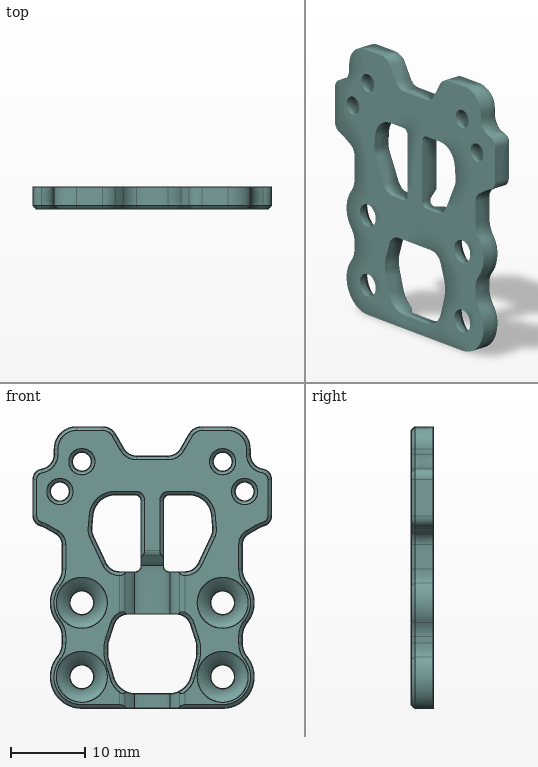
import cadquery as cq
import math

height = 38.03
width = 32.2
half_width = width / 2
thickness = 3.0
edge_chamfer = 0.5

boss_x = 9.5
boss_radius = 4.25
boss_spacing = 10.0
lower_boss_z = boss_radius
upper_boss_z = lower_boss_z + boss_spacing
screw_hole_diameter = 3.2
countersink_diameter = 6.9
countersink_angle = 90.0
waist_x = 12.17
waist_blend_radius = 3.0

ear_corner_radius = 1.4
ear_lower_corner_z = 26.0
ear_shoulder_radius = 4.0
ear_shoulder_start_slope = 30.0
ear_shoulder_end_slope = 17.0
armpit_radius = 1.67
ear_upper_blend_radius = 2.0
ear_upper_blend_z = 34.3
lobe_x = 13.25
lobe_outer_radius = 3.0
lobe_inner_corner_x = 5.55
lobe_slope_angle = 60.0
notch_z = 34.07
notch_radius = 2.0

small_hole_diameter = 2.55
lobe_hole = (9.5, 33.3)
ear_hole = (12.47, 29.3)

bar_half_width = 1.52
upper_window = [
    (bar_half_width, 18.45, 0.75),
    (5.7, 18.45, 2.0),
    (8.2, 23.8, 2.0),
    (7.75, 28.83, 3.0),
    (bar_half_width, 28.83, 0.75),
]

lower_window_half = [
    (0, 1.98, 0),
    (4.55, 1.98, 3.0),
    (6.0, 7.0, 3.0),
    (6.0, 8.75, 3.0),
    (4.7, 12.75, 2.0),
    (0, 12.75, 0),
]

recess_depth = 1.6
recess_half_width = 2.4
recess_floor_top = 19.32
recess_wall_angle = 45.0
recess_rim_radius = 1.0


def towards(start, end, distance):
    """Point at a distance from start in the direction of end."""
    span = math.dist(start, end)
    return tuple(s + (e - s) * distance / span for s, e in zip(start, end))


def arc_middle(center, start, end):
    """Middle point of the shorter arc from start to end."""
    chord_middle = towards(start, end, math.dist(start, end) / 2)
    return towards(center, chord_middle, math.dist(center, start))


def add_arc(sketch, center, start, end):
    return sketch.threePointArc(arc_middle(center, start, end), end)


def below(center, distance, slope):
    """Point below center, square to a line that rises to the right at slope degrees."""
    angle = math.radians(slope)
    return (center[0] + distance * math.sin(angle), center[1] - distance * math.cos(angle))


def rounded_polygon(corners):
    """Closed outline through (x, z, radius) corners; a zero radius stays sharp."""
    path = None
    for i, (x, z, radius) in enumerate(corners):
        corner = (x, z)
        before = corners[i - 1][:2]
        after = corners[(i + 1) % len(corners)][:2]
        heading_in = math.atan2(z - before[1], x - before[0])
        heading_out = math.atan2(after[1] - z, after[0] - x)
        half_turn = abs(math.remainder(heading_out - heading_in, math.tau)) / 2
        tangent_length = radius * math.tan(half_turn)
        start = towards(corner, before, tangent_length)
        end = towards(corner, after, tangent_length)
        path = path.lineTo(*start) if path else cq.Workplane("XZ").moveTo(*start)
        if radius:
            bisector_point = towards(start, end, math.dist(start, end) / 2)
            center = towards(corner, bisector_point, radius / math.cos(half_turn))
            path = add_arc(path, center, start, end)
    return path.close()


def extrude_back(sketch):
    return sketch.extrude(-thickness)


def with_mirror(half):
    return half.union(half.mirror("YZ"))


def trace_bosses(path):
    """Bottom edge and both bosses, ending on the waist line above the upper boss."""
    lower_boss = (boss_x, lower_boss_z)
    upper_boss = (boss_x, upper_boss_z)
    lower_boss_start = (boss_x, 0)
    lower_boss_side = (boss_x + boss_radius, lower_boss_z)

    blend_x = waist_x + waist_blend_radius
    blend_rise = math.sqrt((boss_radius + waist_blend_radius) ** 2 - (blend_x - boss_x) ** 2)
    lower_blend = (blend_x, lower_boss_z + blend_rise)
    middle_blend = (blend_x, upper_boss_z - blend_rise)
    upper_blend = (blend_x, upper_boss_z + blend_rise)
    lower_boss_end = towards(lower_boss, lower_blend, boss_radius)
    upper_boss_start = towards(upper_boss, middle_blend, boss_radius)
    upper_boss_end = towards(upper_boss, upper_blend, boss_radius)
    waist_start = (waist_x, lower_blend[1])
    waist_end = (waist_x, middle_blend[1])
    upper_blend_end = (waist_x, upper_blend[1])

    path = path.lineTo(*lower_boss_start)
    path = add_arc(path, lower_boss, lower_boss_start, lower_boss_side)
    path = add_arc(path, lower_boss, lower_boss_side, lower_boss_end)
    path = add_arc(path, lower_blend, lower_boss_end, waist_start).lineTo(*waist_end)
    path = add_arc(path, middle_blend, waist_end, upper_boss_start)
    path = add_arc(path, upper_boss, upper_boss_start, upper_boss_end)
    return add_arc(path, upper_blend, upper_boss_end, upper_blend_end)


def trace_ear(path):
    """Waist side, armpit and ear, ending on the outer side of the lobe."""
    corner_x = half_width - ear_corner_radius
    lower_corner = (corner_x, ear_lower_corner_z)

    shoulder = below(lower_corner, ear_corner_radius + ear_shoulder_radius, ear_shoulder_end_slope)
    shoulder_end = below(lower_corner, ear_corner_radius, ear_shoulder_end_slope)
    shoulder_start = below(shoulder, -ear_shoulder_radius, ear_shoulder_start_slope)

    slope = math.radians(ear_shoulder_start_slope)
    armpit_corner = (waist_x, shoulder_start[1] - (shoulder_start[0] - waist_x) * math.tan(slope))
    armpit_tangent = armpit_radius * math.tan((math.pi / 2 - slope) / 2)
    armpit_start = (waist_x, armpit_corner[1] - armpit_tangent)
    armpit_end = towards(armpit_corner, shoulder_start, armpit_tangent)
    armpit = (waist_x + armpit_radius, armpit_start[1])

    blend = (lobe_x + ear_upper_blend_radius, ear_upper_blend_z)
    reach = ear_corner_radius + ear_upper_blend_radius
    upper_corner = (corner_x, ear_upper_blend_z - math.sqrt(reach**2 - (corner_x - blend[0]) ** 2))
    ear_side_start = (half_width, ear_lower_corner_z)
    ear_side_end = (half_width, upper_corner[1])
    blend_start = towards(blend, upper_corner, ear_upper_blend_radius)
    blend_end = (lobe_x, ear_upper_blend_z)

    path = path.lineTo(*armpit_start)
    path = add_arc(path, armpit, armpit_start, armpit_end).lineTo(*shoulder_start)
    path = add_arc(path, shoulder, shoulder_start, shoulder_end)
    path = add_arc(path, lower_corner, shoulder_end, ear_side_start).lineTo(*ear_side_end)
    path = add_arc(path, upper_corner, ear_side_end, blend_start)
    return add_arc(path, blend, blend_start, blend_end)


def trace_lobe_and_notch(path):
    """Lobe and the slope into the top notch, ending on the centre line."""
    outer_center = (lobe_x - lobe_outer_radius, height - lobe_outer_radius)
    outer_start = (lobe_x, outer_center[1])
    outer_end = (outer_center[0], height)

    slope = math.radians(lobe_slope_angle)
    lobe_corner = (lobe_inner_corner_x, height)
    notch_corner = (lobe_inner_corner_x - (height - notch_z) / math.tan(slope), notch_z)
    tangent = notch_radius * math.tan(slope / 2)
    inner_start = (lobe_corner[0] + tangent, height)
    inner_center = (inner_start[0], height - notch_radius)
    inner_end = towards(lobe_corner, notch_corner, tangent)
    notch_start = towards(notch_corner, lobe_corner, tangent)
    notch_end = (notch_corner[0] - tangent, notch_z)
    notch_center = (notch_end[0], notch_z + notch_radius)

    path = path.lineTo(*outer_start)
    path = add_arc(path, outer_center, outer_start, outer_end).lineTo(*inner_start)
    path = add_arc(path, inner_center, inner_start, inner_end).lineTo(*notch_start)
    return add_arc(path, notch_center, notch_start, notch_end).lineTo(0, notch_z)


def plate_half():
    path = trace_bosses(cq.Workplane("XZ"))
    path = trace_ear(path)
    path = trace_lobe_and_notch(path)
    return extrude_back(path.close())


def both_sides(points):
    return [(side * x, z) for x, z in points for side in (-1, 1)]


def small_holes():
    centers = both_sides([lobe_hole, ear_hole])
    return extrude_back(cq.Workplane("XZ").pushPoints(centers).circle(small_hole_diameter / 2))


def recess():
    slope = math.radians(recess_wall_angle)
    rim_tangent = recess_rim_radius * math.tan(slope / 2)
    rim_corner = (recess_depth / math.tan(slope), 0)
    rim = (rim_corner[0] + rim_tangent, 0)
    wall_end = towards(rim_corner, (0, recess_depth), rim_tangent)
    rim_middle = arc_middle((rim[0], recess_rim_radius), wall_end, rim)

    def wall_section(plane, edge, far_edge):
        """Section whose wall climbs from the floor's edge to the front face."""
        def at(point):
            return (edge + point[0], point[1])
        path = cq.Workplane(plane).moveTo(far_edge, recess_depth).lineTo(edge, recess_depth)
        path = path.lineTo(*at(wall_end)).threePointArc(at(rim_middle), at(rim))
        return path.lineTo(far_edge, 0).close()

    channel = with_mirror(wall_section("XY", recess_half_width, 0).extrude(recess_floor_top))
    end_plane = cq.Plane(origin=(0, 0, 0), xDir=(0, 0, 1), normal=(-1, 0, 0))
    end = wall_section(end_plane, recess_floor_top, 0).extrude(bar_half_width, both=True)
    return channel.union(end)


result = with_mirror(plate_half())
result = result.cut(with_mirror(extrude_back(rounded_polygon(upper_window))))
result = result.cut(with_mirror(extrude_back(rounded_polygon(lower_window_half))))
result = result.cut(small_holes())
result = result.faces("<Y").edges().chamfer(edge_chamfer)
result = result.cut(recess())

screw_centers = both_sides([(boss_x, lower_boss_z), (boss_x, upper_boss_z)])
result = (
    cq.Workplane("XZ").add(result.val()).pushPoints(screw_centers)
    .cskHole(screw_hole_diameter, countersink_diameter, countersink_angle)
)